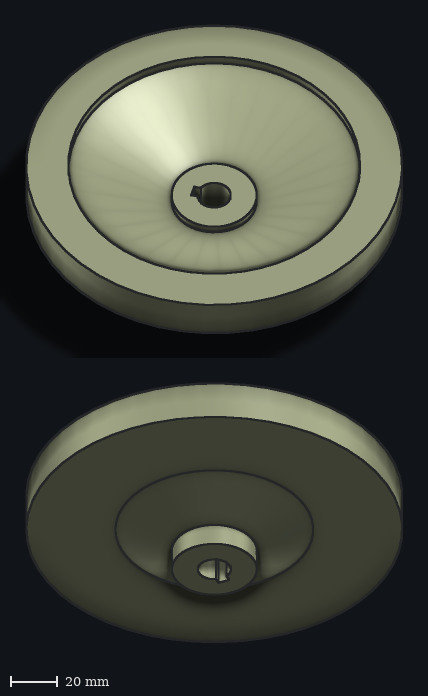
import cadquery as cq

outer_radius = 80.0
rim_height = 18.0
total_height = 39.0
rim_bottom = total_height - rim_height
hub_radius = 18.0
hub_recess = 19.0
hub_top = total_height - hub_recess

dish_radius = 62.0
dish_lip_height = 4.2
dish_edge_z = total_height - dish_lip_height
hub_lip_height = 3.5
web_inner_z = hub_top - hub_lip_height
web_outer_radius = 42.0
web_lower_z = 10.0

bore_radius = 7.0
keyway_width = 5.0
keyway_reach = 9.5


def make_wheel():
    """Revolve the half section of the rim, web and hub about Z."""
    return (
        cq.Workplane("XZ")
        .moveTo(0, 0)
        .lineTo(hub_radius, 0)
        .lineTo(hub_radius, web_lower_z)
        .lineTo(web_outer_radius, rim_bottom)
        .lineTo(outer_radius, rim_bottom)
        .lineTo(outer_radius, total_height)
        .lineTo(dish_radius, total_height)
        .lineTo(dish_radius, dish_edge_z)
        .lineTo(hub_radius, web_inner_z)
        .lineTo(hub_radius, hub_top)
        .lineTo(0, hub_top)
        .close()
        .revolve(360, (0, 0, 0), (0, 1, 0))
    )


def make_keyed_bore():
    """Through bore with a rectangular keyway on its -X side."""
    bore = cq.Workplane("XY").circle(bore_radius).extrude(hub_top)
    keyway = (
        cq.Workplane("XY")
        .center(-keyway_reach / 2, 0)
        .rect(keyway_reach, keyway_width)
        .extrude(hub_top)
    )
    return bore.union(keyway)


result = make_wheel().cut(make_keyed_bore())